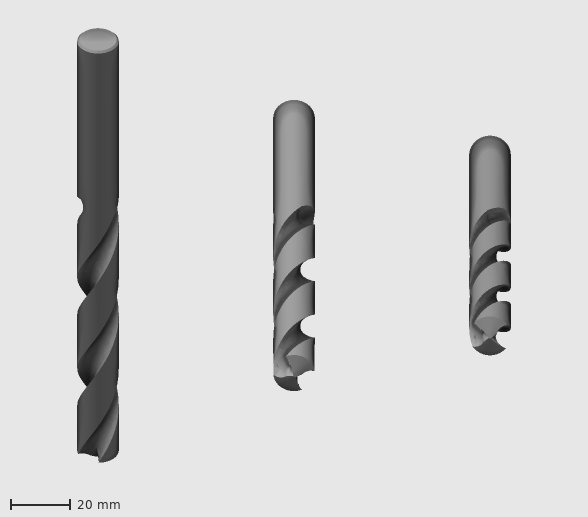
import cadquery as cq
import math

drill_length = 176.0
drill_diameter = 14.0
drill_radius = drill_diameter / 2
joint_height = 84.1
shank_chamfer = 0.7
point_angle = 140.0
point_height = drill_radius / math.tan(math.radians(point_angle / 2))

flute_count = 2
helix_angle = 30.0
flute_lead = math.pi * drill_diameter / math.tan(math.radians(helix_angle))
flute_start_angle = 97.0
flute_opening_angle = 73.0
core_radius = 2.1
flute_top = 104.4

edge_depth = drill_radius * math.cos(math.radians(flute_opening_angle / 2))
flute_center_radius = (drill_radius**2 - core_radius**2) / (2 * (edge_depth - core_radius))
flute_radius = flute_center_radius - core_radius

runout_height = 17.6
runout_side_angle = 41.0
runout_lean_angle = 23.0

gash_angle = -46.0
gash_start = 0.4
gash_length = 3.5
gash_rise_angle = 71.0
gash_wall_angle = 8.0
gash_floor_angle = 33.0
gash_floor_width = 4.2
gash_depth = 14.0


def flute_direction(height, index):
    """Angle of a flute's middle at a given height, in degrees."""
    return flute_start_angle + 360 * (height / flute_lead + index / flute_count)


def make_helical_flute(index):
    turn = 360 * flute_top / flute_lead
    return (
        cq.Workplane("XY")
        .moveTo(flute_center_radius, 0)
        .circle(flute_radius)
        .twistExtrude(flute_top, turn)
        .rotate((0, 0, 0), (0, 0, 1), flute_direction(0, index))
    )


def make_runout(index):
    outward = runout_height * math.tan(math.radians(runout_lean_angle))
    sideways = runout_height * math.tan(math.radians(runout_side_angle))
    section = cq.Wire.makeCircle(
        flute_radius, cq.Vector(flute_center_radius, 0, flute_top), cq.Vector(0, 0, 1)
    )
    runout = cq.Solid.extrudeLinear(section, [], cq.Vector(outward, sideways, runout_height))
    return cq.Workplane(runout).rotate((0, 0, 0), (0, 0, 1), flute_direction(flute_top, index))


def make_gash(index):
    """Notch with a steep wall and a flat floor, which rises as it leaves the axis."""
    wall_lean = gash_depth * math.tan(math.radians(gash_wall_angle))
    floor_drop = gash_floor_width * math.tan(math.radians(gash_floor_angle))
    section = cq.Wire.makePolygon(
        [
            cq.Vector(gash_start, 0, 0),
            cq.Vector(gash_start, wall_lean, -gash_depth),
            cq.Vector(gash_start, -gash_floor_width, -gash_depth),
            cq.Vector(gash_start, -gash_floor_width, -floor_drop),
        ],
        close=True,
    )
    rise = gash_length * math.tan(math.radians(gash_rise_angle))
    gash = cq.Solid.extrudeLinear(section, [], cq.Vector(gash_length, 0, rise))
    return cq.Workplane(gash).rotate(
        (0, 0, 0), (0, 0, 1), gash_angle + 360 * index / flute_count
    )


def make_cutting_head():
    head = (
        cq.Workplane("XZ")
        .lineTo(drill_radius, point_height)
        .lineTo(drill_radius, joint_height)
        .lineTo(0, joint_height)
        .close()
        .revolve(360, (0, 0), (0, 1))
    )
    for index in range(flute_count):
        head = head.cut(make_helical_flute(index))
        head = head.cut(make_gash(index))
    return head


def make_shank():
    shank = (
        cq.Workplane("XY", origin=(0, 0, joint_height))
        .circle(drill_radius)
        .extrude(drill_length - joint_height)
        .faces(">Z")
        .chamfer(shank_chamfer)
    )
    for index in range(flute_count):
        shank = shank.cut(make_helical_flute(index))
        shank = shank.cut(make_runout(index))
    return shank


cutting_head = make_cutting_head()
shank = make_shank()
result = cq.Compound.makeCompound([cutting_head.solids().val(), shank.solids().val()])